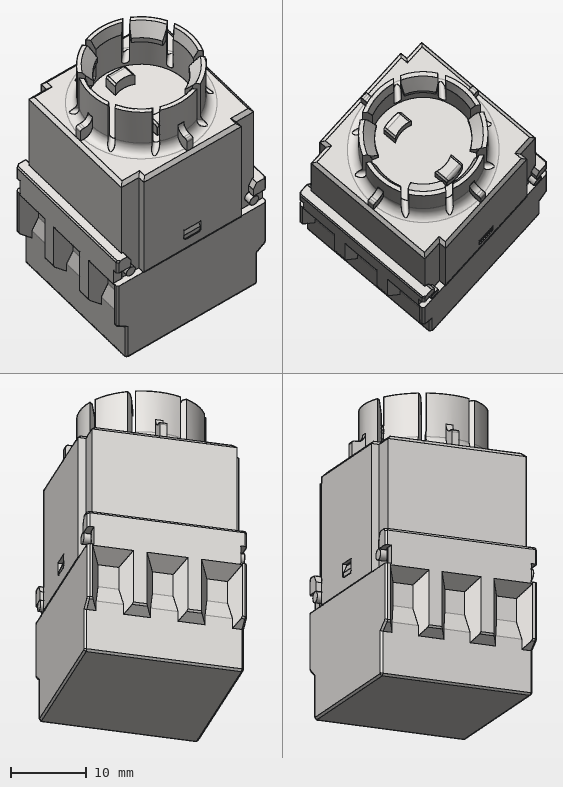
import cadquery as cq
import math

total_height = 41.0
body_width = 22.2
body_half = body_width / 2
body_top = 33.45
body_chamfer = 0.55
notch_x = 10.0
notch_y = 8.15

base_half_x = 11.0
base_half_y = 12.5
foot_half_y = 11.03
base_top = 15.15
wall_top = 20.0
step_low = 6.1
step_high = 7.05
edge_break = 0.3
wall_edge_break = 0.15

hook_y = 10.25
hook_low = 17.7
hook_high = 19.0
hook_lead_in = 0.57
end_recess_x = 10.13
pin_diameter = 1.5
pin_y = 10.35
pin_z = 16.9

terminal_pitch = 7.5
terminal_width = 5.6
terminal_half_width = terminal_width / 2
terminal_top = 14.95
terminal_back_y = 10.3
terminal_draft = 0.62
terminal_top_slope = 0.74
ramp_low = 7.55
ramp_high = 10.1

collar_radius = 8.55
flare_radius = 1.48
bore_diameter = 14.7
bore_floor = 32.95
lead_in_radius = 7.95
lead_in_low = 39.28
snap_radius = 6.45
snap_high = 39.2
snap_low = 38.38
snap_half_angle = 19.0
slot_width = 1.0
slot_floor = 33.5
slot_offset = 2.95

rib_width = 1.0
rib_top = 35.6
rib_arc_diameter = 2.5
rib_arc_radius = rib_arc_diameter / 2
rib_corner_radius = 0.35

stud_inner_radius = 3.85
stud_outer_radius = 5.8
stud_half_width = 1.65
stud_top = 34.97
stud_outer_rounding = 0.6
stud_side_chamfer = 0.3

latch_half_width = 1.4
latch_low = 16.97
latch_ramp_low = 17.7
latch_ramp_high = 18.75
latch_high = 18.9
latch_shallow = 0.15
latch_deep = 0.6
latch_corner = 0.25


def centred_box(size_x, size_y, low, high):
    return cq.Workplane("XY").workplane(offset=low).rect(size_x, size_y).extrude(high - low)


def yz_prism(points, half_length):
    return cq.Workplane("YZ").polyline(points).close().extrude(half_length, both=True)


def mirrored(points):
    """Close a YZ half outline by mirroring it about the Z axis."""
    return points + [(-y, z) for y, z in reversed(points)]


def make_body():
    wide = centred_box(2 * body_half, 2 * notch_y, base_top, body_top)
    deep = centred_box(2 * notch_x, 2 * body_half, base_top, body_top)
    return wide.union(deep).faces(">Z").edges().chamfer(body_chamfer)


def make_base():
    outline = mirrored([
        (foot_half_y - edge_break, 0),
        (foot_half_y, edge_break),
        (foot_half_y, step_low),
        (base_half_y - wall_edge_break, step_high),
        (base_half_y, step_high + edge_break),
        (base_half_y, wall_top - edge_break),
        (base_half_y - wall_edge_break, wall_top),
    ])
    base = yz_prism(outline, base_half_x).faces("<X or >X").edges("not >Z").chamfer(edge_break)
    between_walls = mirrored([
        (body_half, base_top),
        (body_half, hook_low),
        (hook_y, hook_low),
        (hook_y, hook_high),
        (hook_y + hook_lead_in, wall_top),
    ])
    base = base.cut(yz_prism(between_walls, base_half_x))
    under_hooks = centred_box(4 * body_half, 4 * body_half, base_top, hook_low)
    under_hooks = under_hooks.cut(centred_box(2 * end_recess_x, 4 * body_half, base_top, hook_low))
    return base.cut(under_hooks)


def make_terminal_opening():
    """Funnel, open at the sloped step, that narrows inward, with a ramp as its floor."""
    depth = base_half_y - terminal_back_y
    back_half_width = terminal_half_width - terminal_draft * depth
    back_top = terminal_top - terminal_top_slope * depth
    funnel = (
        cq.Workplane("XZ", origin=(0, -base_half_y, 0))
        .polyline([(-terminal_half_width, 0), (terminal_half_width, 0),
                   (terminal_half_width, terminal_top), (-terminal_half_width, terminal_top)])
        .close()
        .workplane(offset=-depth)
        .polyline([(-back_half_width, 0), (back_half_width, 0),
                   (back_half_width, back_top), (-back_half_width, back_top)])
        .close()
        .loft(ruled=True)
    )
    depth_limit = yz_prism(
        [(-base_half_y, step_low), (-foot_half_y, step_low), (-foot_half_y, ramp_low),
         (-terminal_back_y, ramp_high), (-terminal_back_y, terminal_top),
         (-base_half_y, terminal_top)],
        terminal_half_width,
    )
    return funnel.intersect(depth_limit)


def make_latch_window():
    """Shallow recess that ramps deeper into the body towards its top."""
    face = -body_half
    window = (
        cq.Workplane("XZ")
        .polyline([(face, latch_low), (face + latch_shallow, latch_low),
                   (face + latch_shallow, latch_ramp_low), (face + latch_deep, latch_ramp_high),
                   (face + latch_deep, latch_high), (face, latch_high)])
        .close()
        .extrude(latch_half_width, both=True)
    )
    return window.edges("|X and <Z").chamfer(latch_corner)


def make_collar():
    flare_top = body_top + flare_radius
    flare_outer = collar_radius + flare_radius
    arc_reach = flare_radius * math.sqrt(0.5)
    return (
        cq.Workplane("XZ")
        .moveTo(0, bore_floor)
        .lineTo(flare_outer, bore_floor)
        .lineTo(flare_outer, body_top)
        .threePointArc((flare_outer - arc_reach, flare_top - arc_reach), (collar_radius, flare_top))
        .lineTo(collar_radius, total_height)
        .lineTo(0, total_height)
        .close()
        .revolve(360, (0, 0, 0), (0, 1, 0))
    )


def make_bore():
    bore_radius = bore_diameter / 2
    return (
        cq.Workplane("XZ")
        .polyline([(0, bore_floor), (bore_radius, bore_floor), (bore_radius, lead_in_low),
                   (lead_in_radius, total_height), (0, total_height)])
        .close()
        .revolve(360, (0, 0, 0), (0, 1, 0))
    )


def make_snap_hook():
    """Conical hook centred on +X, rooted in the collar wall."""
    wall_radius = (lead_in_radius + collar_radius) / 2
    ring = (
        cq.Workplane("XZ")
        .polyline([(snap_radius, snap_low), (wall_radius, snap_low), (wall_radius, total_height),
                   (lead_in_radius, total_height), (snap_radius, snap_high)])
        .close()
        .revolve(360, (0, 0, 0), (0, 1, 0))
    )
    sector_x = total_height / 2
    sector_y = sector_x * math.tan(math.radians(snap_half_angle))
    sector = (
        cq.Workplane("XY")
        .polyline([(0, 0), (sector_x, -sector_y), (sector_x, sector_y)])
        .close()
        .extrude(total_height)
    )
    return ring.intersect(sector)


def make_slot_pair():
    """Two round-bottomed slots along X, one on each side of the X axis."""
    axis_height = slot_floor + slot_width / 2
    channel = cq.Workplane("YZ").center(0, axis_height).circle(slot_width / 2).extrude(body_half, both=True)
    slot = channel.union(centred_box(2 * body_half, slot_width, axis_height, total_height + slot_width))
    return slot.translate((0, slot_offset, 0)).union(slot.translate((0, -slot_offset, 0)))


def make_rib():
    """Rib on +X, rising to the collar in a concave quarter arc."""
    outer = body_half - body_chamfer
    arc_x = collar_radius + rib_arc_radius
    arc_z = rib_top + rib_arc_radius
    arc_reach = rib_arc_radius * math.sqrt(0.5)
    root = (bore_diameter / 2 + collar_radius) / 2
    rib = (
        cq.Workplane("XZ")
        .moveTo(root, bore_floor)
        .lineTo(outer, bore_floor)
        .lineTo(outer, rib_top)
        .lineTo(arc_x, rib_top)
        .threePointArc((arc_x - arc_reach, arc_z - arc_reach), (collar_radius, arc_z))
        .lineTo(root, arc_z)
        .close()
        .extrude(rib_width / 2, both=True)
    )
    return rib.edges("|Y").edges(">X").edges(">Z").fillet(rib_corner_radius)


def make_stud():
    """Stud on the bore floor at +X, with curved inner and outer faces."""
    height = stud_top - bore_floor
    ring = (
        cq.Workplane("XY").workplane(offset=bore_floor)
        .circle(stud_outer_radius).circle(stud_inner_radius).extrude(height)
    )
    block = (
        cq.Workplane("XY").workplane(offset=bore_floor)
        .rect(stud_outer_radius, 2 * stud_half_width, centered=(False, True)).extrude(height)
    )
    block = block.edges("|Y").edges(">X").edges(">Z").fillet(stud_outer_rounding)
    block = block.faces(">Z").edges("|X").chamfer(stud_side_chamfer)
    return ring.intersect(block)


def around_axis(shape, angle):
    return shape.rotate((0, 0, 0), (0, 0, 1), angle)


result = make_body().union(make_base())
for side_y in (-1, 1):
    pin_rod = cq.Workplane("YZ").center(side_y * pin_y, pin_z).circle(pin_diameter / 2)
    result = result.union(pin_rod.extrude(body_half, both=True))

terminal = make_terminal_opening()
latch_window = make_latch_window()
for end_angle in (0, 180):
    for index in (-1, 0, 1):
        opening = terminal.translate((index * terminal_pitch, 0, 0))
        result = result.cut(around_axis(opening, end_angle))
    result = result.cut(around_axis(latch_window, end_angle))

bore = make_bore()
collar = make_collar().cut(bore)
for quarter in range(4):
    collar = collar.union(around_axis(make_snap_hook(), 45 + 90 * quarter))
for diagonal in (45, 135):
    collar = collar.cut(around_axis(make_slot_pair(), diagonal))
result = result.cut(bore).union(collar)

for quarter in range(4):
    result = result.union(around_axis(make_rib(), 90 * quarter))
for side_angle in (0, 180):
    result = result.union(around_axis(make_stud(), side_angle))